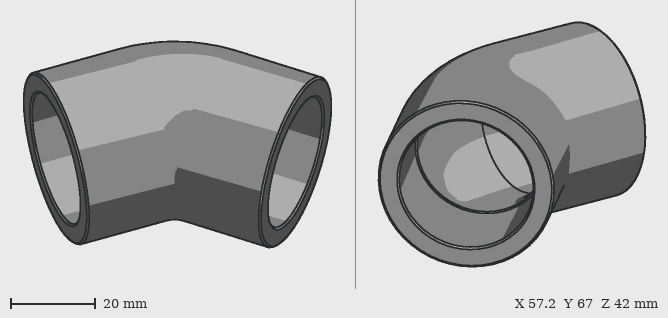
import cadquery as cq
import math

bend_angle = 45.0
outer_diameter = 42.0
socket_diameter = 32.0
bend_bore_diameter = 31.1
socket_length = 22.05
rim_chamfer = 0.5

outer_radius = outer_diameter / 2
bend_centre_x = outer_radius
bend_cos = math.cos(math.radians(bend_angle))
bend_sin = math.sin(math.radians(bend_angle))
outlet_axis = cq.Vector(bend_sin, bend_cos, 0)
outlet_start = cq.Vector(bend_centre_x - outer_radius * bend_cos, outer_radius * bend_sin, 0)
inlet_axis = cq.Vector(0, -1, 0)
inlet_start = cq.Vector(0, 0, 0)


def bend(diameter):
    """Round section swept through the bend angle about the inside corner."""
    return (
        cq.Workplane("XZ")
        .circle(diameter / 2)
        .revolve(bend_angle, (bend_centre_x, 0.7, 0), (bend_centre_x, 0, 0))
    )


def socket(start, axis, profile):
    """Solid of revolution from (radius, distance along the axis) points."""
    up = cq.Vector(0, 0, 1)
    section_plane = cq.Plane(origin=start, xDir=up, normal=up.cross(axis))
    return (
        cq.Workplane(section_plane)
        .polyline(profile)
        .close()
        .revolve(360, (0, 0, 0), (0, 1, 0))
    )


body_profile = [
    (0, 0),
    (outer_radius, 0),
    (outer_radius, socket_length - rim_chamfer),
    (outer_radius - rim_chamfer, socket_length),
    (0, socket_length),
]

socket_radius = socket_diameter / 2
bore_profile = [
    (0, 0),
    (socket_radius, 0),
    (socket_radius, socket_length - rim_chamfer),
    (socket_radius + rim_chamfer, socket_length),
    (0, socket_length),
]

body = bend(outer_diameter)
bore = bend(bend_bore_diameter)
for start, axis in ((inlet_start, inlet_axis), (outlet_start, outlet_axis)):
    body = body.union(socket(start, axis, body_profile))
    bore = bore.union(socket(start, axis, bore_profile))

result = body.cut(bore)